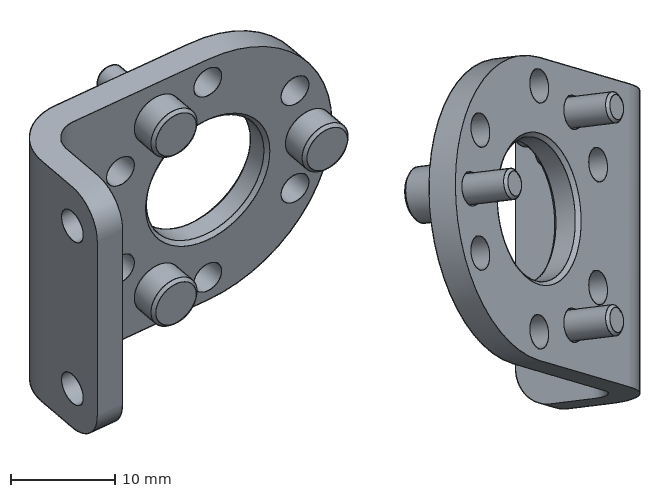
import cadquery as cq
import math

total_length = 36.8
bracket_height = 29.6
flange_reach = 15.0
thickness = 3.0
bend_inner_radius = 3.0
flange_corner_radius = 4.0

end_radius = bracket_height / 2
bend_outer_radius = bend_inner_radius + thickness
end_y = end_radius
flange_y = end_y - total_length

bore_diameter = 14.0
bore_chamfer = 0.4

bolt_circle_radius = 12.0
ring_hole_diameter = 3.3
open_hole_count = 6
screw_count = 3

flange_hole_diameter = 3.5
flange_hole_spacing = 20.02
flange_hole_x = flange_reach - flange_corner_radius

shank_diameter = 3.0
shank_protrusion = 4.95
shank_tip_chamfer = 0.3
head_diameter = 5.5
head_height = 3.0
head_chamfer = 0.33


def ring_positions(count, first_angle):
    """Evenly spaced (y, z) points on the bolt circle; angles are measured from +Y."""
    angles = [math.radians(first_angle + i * 360 / count) for i in range(count)]
    return [(bolt_circle_radius * math.cos(a), bolt_circle_radius * math.sin(a)) for a in angles]


open_hole_positions = ring_positions(open_hole_count, 30)
screw_positions = ring_positions(screw_count, 0)


def make_bent_strip():
    """L-shaped strip of constant thickness with concentric bend radii."""
    return (
        cq.Workplane("XY")
        .workplane(offset=-bracket_height / 2)
        .moveTo(0, end_y)
        .lineTo(0, flange_y + bend_outer_radius)
        .radiusArc((bend_outer_radius, flange_y), -bend_outer_radius)
        .lineTo(flange_reach, flange_y)
        .lineTo(flange_reach, flange_y + thickness)
        .lineTo(bend_outer_radius, flange_y + thickness)
        .radiusArc((thickness, flange_y + bend_outer_radius), bend_inner_radius)
        .lineTo(thickness, end_y)
        .close()
        .extrude(bracket_height)
    )


def make_side_outline():
    """Prism along X whose outline gives the plate its full-round end."""
    return (
        cq.Workplane("YZ")
        .moveTo(flange_y, -end_radius)
        .lineTo(0, -end_radius)
        .threePointArc((end_radius, 0), (0, end_radius))
        .lineTo(flange_y, end_radius)
        .close()
        .extrude(flange_reach)
    )


def make_bore():
    """Bore cutter, widened by a chamfer at both faces of the plate."""
    bore_radius = bore_diameter / 2
    rim_radius = bore_radius + bore_chamfer
    return (
        cq.Workplane("XY")
        .moveTo(0, 0)
        .lineTo(0, rim_radius)
        .lineTo(bore_chamfer, bore_radius)
        .lineTo(thickness - bore_chamfer, bore_radius)
        .lineTo(thickness, rim_radius)
        .lineTo(thickness, 0)
        .close()
        .revolve(360, (0, 0, 0), (1, 0, 0))
    )


def make_ring_holes():
    return (
        cq.Workplane("YZ")
        .pushPoints(open_hole_positions + screw_positions)
        .circle(ring_hole_diameter / 2)
        .extrude(thickness)
    )


def make_flange_holes():
    half_spacing = flange_hole_spacing / 2
    return (
        cq.Workplane("XZ", origin=(0, flange_y, 0))
        .pushPoints([(flange_hole_x, -half_spacing), (flange_hole_x, half_spacing)])
        .circle(flange_hole_diameter / 2)
        .extrude(-thickness)
    )


def make_bracket():
    body = make_bent_strip().intersect(make_side_outline())
    body = body.edges("|Y and >X").fillet(flange_corner_radius)
    return body.cut(make_bore()).cut(make_ring_holes()).cut(make_flange_holes())


def make_screw(y, z):
    """Screw along X, with its head seated on the inner face of the plate."""
    shank = (
        cq.Workplane("YZ", origin=(-shank_protrusion, y, z))
        .circle(shank_diameter / 2)
        .extrude(shank_protrusion + thickness)
        .faces("<X")
        .chamfer(shank_tip_chamfer)
    )
    head = (
        cq.Workplane("YZ", origin=(thickness, y, z))
        .circle(head_diameter / 2)
        .extrude(head_height)
        .faces(">X")
        .chamfer(head_chamfer)
    )
    return shank.union(head)


bracket = make_bracket()
screws = [make_screw(y, z) for y, z in screw_positions]

result = cq.Compound.makeCompound([bracket.val(), *[screw.val() for screw in screws]])